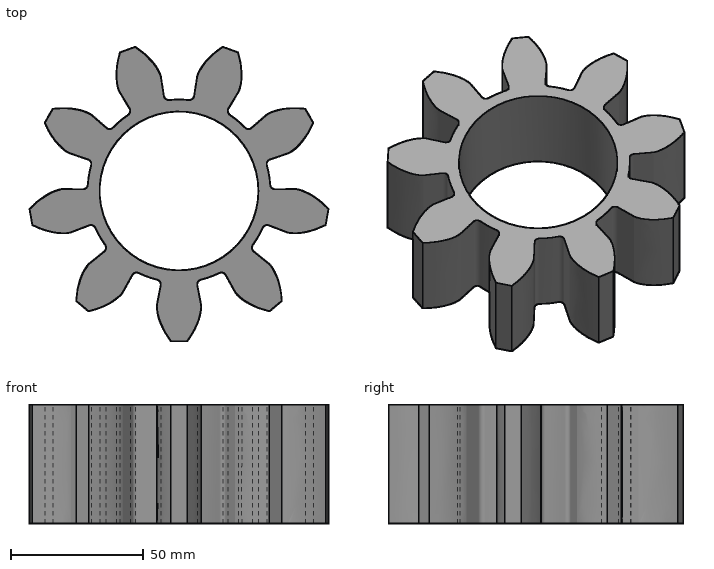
import cadquery as cq
import math

TOOTH_COUNT = 9
OVERALL_WIDTH = 113.1
FACE_WIDTH = 45.0
BORE_RADIUS = 30.0
ROOT_RADIUS = 34.6
BASE_RADIUS = 43.8
TIP_HALF_ANGLE = math.radians(3.1)
ROOT_FILLET = 1.8
ROOT_OVERLAP = 2.3
FLANK_STEPS = 6

TOOTH_PITCH_DEGREES = 360 / TOOTH_COUNT
FIRST_TOOTH_DEGREES = -90

WIDEST_TOOTH_ANGLE = math.radians(TOOTH_PITCH_DEGREES / 4)
TIP_RADIUS = OVERALL_WIDTH / 2 / math.cos(WIDEST_TOOTH_ANGLE - TIP_HALF_ANGLE)

TIP_ROLL = math.sqrt((TIP_RADIUS / BASE_RADIUS) ** 2 - 1)
BASE_HALF_ANGLE = TIP_HALF_ANGLE + TIP_ROLL - math.atan(TIP_ROLL)


def polar(radius, angle):
    return radius * math.cos(angle), radius * math.sin(angle)


def involute_flank():
    """Points on the upper flank of a tooth along +X, from base to tip."""
    points = []
    for step in range(FLANK_STEPS + 1):
        roll = TIP_ROLL * step / FLANK_STEPS
        radius = BASE_RADIUS * math.sqrt(1 + roll**2)
        points.append(polar(radius, BASE_HALF_ANGLE - roll + math.atan(roll)))
    return points


def mirrored(points):
    """Points reflected across the tooth centreline and reversed."""
    return [(x, -y) for x, y in reversed(points)]


def make_tooth():
    """Tooth along +X: radial sides below the base circle, involutes above."""
    inner = polar(ROOT_RADIUS - ROOT_OVERLAP, BASE_HALF_ANGLE)
    upper = involute_flank()
    lower = mirrored(upper)
    return (
        cq.Workplane("XY")
        .moveTo(*inner)
        .lineTo(*upper[0])
        .spline(upper[1:], includeCurrent=True)
        .lineTo(*lower[0])
        .spline(lower[1:], includeCurrent=True)
        .lineTo(inner[0], -inner[1])
        .close()
        .extrude(FACE_WIDTH)
    )


def is_root_edge(edge):
    """True for an upright edge closer to the root circle than to the base circle."""
    center = edge.Center()
    return math.hypot(center.x, center.y) < (ROOT_RADIUS + BASE_RADIUS) / 2


def make_gear():
    gear = cq.Workplane("XY").circle(ROOT_RADIUS).extrude(FACE_WIDTH)
    tooth = make_tooth()
    for index in range(TOOTH_COUNT):
        angle = FIRST_TOOTH_DEGREES + index * TOOTH_PITCH_DEGREES
        gear = gear.union(tooth.rotate((0, 0, 0), (0, 0, 1), angle))

    root_edges = gear.edges("|Z").filter(is_root_edge)
    gear = root_edges.fillet(ROOT_FILLET)

    bore = cq.Workplane("XY").circle(BORE_RADIUS).extrude(FACE_WIDTH)
    return gear.cut(bore)


result = make_gear()